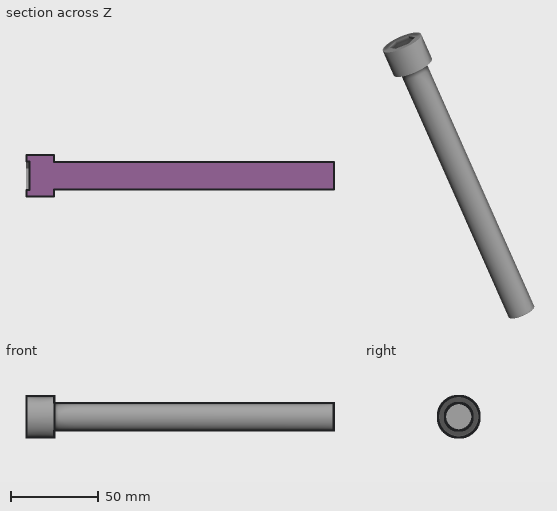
import cadquery as cq
import math


shank_diameter = 16.0
shank_length = 160.0
head_diameter = 1.5 * shank_diameter
head_height = shank_diameter
tip_chamfer = 0.2
socket_across_flats = 14.0
socket_depth = 1.5

socket_sides = 6
socket_across_corners = socket_across_flats / math.cos(math.pi / socket_sides)


def make_head():
    return cq.Workplane("YZ").circle(head_diameter / 2).extrude(-head_height)


def make_shank():
    shank = cq.Workplane("YZ").circle(shank_diameter / 2).extrude(shank_length)
    return shank.faces(">X").chamfer(tip_chamfer)


def make_socket():
    """Shallow hexagonal key socket, with two corners on the Y axis."""
    return (
        cq.Workplane("YZ", origin=(-head_height, 0, 0))
        .polygon(socket_sides, socket_across_corners)
        .extrude(socket_depth)
    )


result = make_head().union(make_shank()).cut(make_socket())